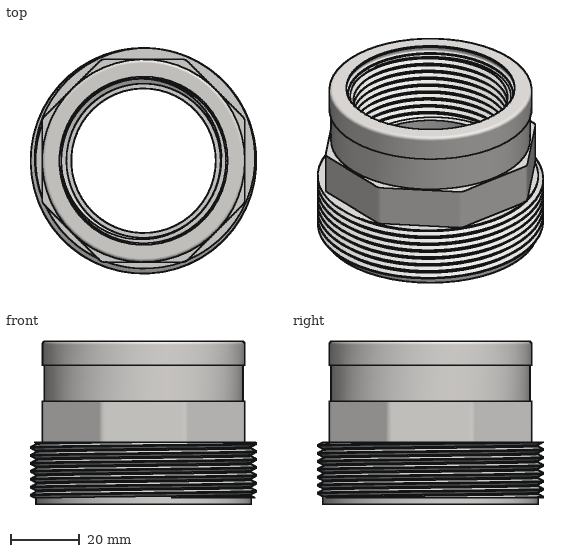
import cadquery as cq
import math

total_height = 47.5
bore_diameter = 42.0
thread_pitch = 2.3095
thread_depth = 1.48
flank_angle = 27.5
root_overlap = 0.2

outer_thread_diameter = 65.7
outer_thread_bottom = 2.0
outer_thread_top = 18.1
outer_crest_width = 0.3
outer_crest_height = 15.4

octagon_flats = 59.0
octagon_top = 30.0
octagon_edge_radius = 2.25
neck_diameter = 58.0

inner_thread_bottom = 24.5
inner_thread_diameter = 44.9
inner_groove_width = 0.6
inner_groove_height = 44.1

recess_diameter = 50.0
recess_floor = 45.4
entry_diameter = 48.0
entry_depth = 0.4

cap_thickness = 0.49
cap_bottom = 40.4
cap_hole_diameter = 49.0
bend_radius = 2 * cap_thickness

outer_root_diameter = outer_thread_diameter - 2 * thread_depth
housing_top = total_height - cap_thickness
cap_diameter = neck_diameter + 2 * cap_thickness
flank_rise = math.tan(math.radians(flank_angle))


def cylinder(diameter, bottom, top):
    return cq.Workplane("XY").workplane(offset=bottom).circle(diameter / 2).extrude(top - bottom)


def threaded_rod(root_diameter, crest_width, crest_height, bottom, top):
    """Rod with a right-hand thread, with a crest on +X at crest_height, cut flat at both ends."""
    root_radius = root_diameter / 2
    crest_radius = root_radius + thread_depth
    start_radius = root_radius - root_overlap
    half_crest = crest_width / 2
    half_start = half_crest + (thread_depth + root_overlap) * flank_rise

    turns_below = math.ceil((crest_height - bottom) / thread_pitch) + 1
    turns_above = math.ceil((top - crest_height) / thread_pitch) + 1
    ridge_bottom = crest_height - turns_below * thread_pitch
    ridge_top = crest_height + turns_above * thread_pitch

    profile = (
        cq.Workplane("XZ")
        .polyline([
            (start_radius, ridge_bottom - half_start),
            (crest_radius, ridge_bottom - half_crest),
            (crest_radius, ridge_bottom + half_crest),
            (start_radius, ridge_bottom + half_start),
        ])
        .close()
    )
    helix = cq.Wire.makeHelix(
        thread_pitch, ridge_top - ridge_bottom, root_radius, center=cq.Vector(0, 0, ridge_bottom)
    )
    ridge = profile.sweep(cq.Workplane(obj=helix), isFrenet=True)
    core = cylinder(root_diameter, ridge_bottom - thread_pitch, ridge_top + thread_pitch)
    trim = cylinder(2 * crest_radius + thread_pitch, bottom, top)
    return core.union(ridge).intersect(trim)


def make_outer_thread():
    return threaded_rod(
        outer_root_diameter, outer_crest_width, outer_crest_height, outer_thread_bottom, outer_thread_top
    )


def make_octagon():
    return (
        cq.Workplane("XY")
        .workplane(offset=outer_thread_top)
        .polygon(8, octagon_flats, circumscribed=True)
        .extrude(octagon_top - outer_thread_top)
        .edges("|Z")
        .fillet(octagon_edge_radius)
    )


def make_neck():
    """Round neck, rounded at its mouth to lie inside the bend of the cap."""
    neck = cylinder(neck_diameter, octagon_top, housing_top)
    return neck.faces(">Z").edges().fillet(bend_radius - cap_thickness)


def make_seal_recess():
    recess = cylinder(recess_diameter, recess_floor, housing_top)
    return recess.faces("<Z").edges().fillet(cap_thickness)


def make_inner_thread_space():
    """Room inside the inner thread, in the shape of the screw that fits it."""
    return threaded_rod(
        inner_thread_diameter, inner_groove_width, inner_groove_height, inner_thread_bottom, recess_floor
    )


def make_housing():
    housing = cylinder(outer_root_diameter, 0, outer_thread_bottom).union(make_outer_thread())
    housing = housing.union(make_octagon()).union(make_neck())
    housing = housing.cut(cylinder(bore_diameter, 0, housing_top))
    housing = housing.cut(make_inner_thread_space())
    housing = housing.cut(cylinder(entry_diameter, recess_floor - entry_depth, housing_top))
    return housing.cut(make_seal_recess())


def make_cap():
    shell = cylinder(cap_diameter, cap_bottom, total_height).faces(">Z").edges().fillet(bend_radius)
    cavity = cylinder(neck_diameter, cap_bottom, housing_top)
    cavity = cavity.faces(">Z").edges().fillet(bend_radius - cap_thickness)
    mouth = cylinder(cap_hole_diameter, cap_bottom, total_height)
    return shell.cut(cavity).cut(mouth)


housing = make_housing()
cap = make_cap()

result = cq.Compound.makeCompound([housing.val(), cap.val()])